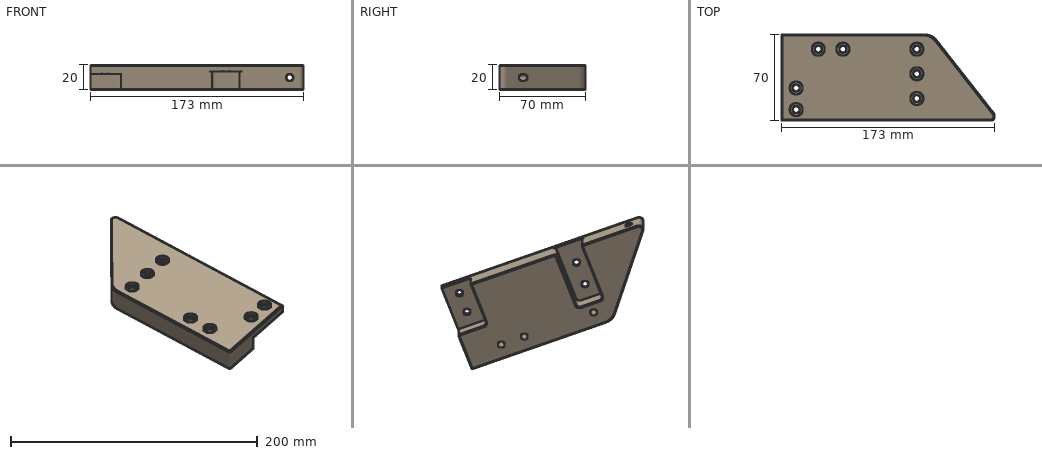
import cadquery as cq
import math

length = 173.02
width = 70.0
thickness = 20.0
slant_angle = 51.9
tip_radius = 3.6
shoulder_radius = 13.0
back_corner_radius = 1.0
edge_chamfer = 0.8

recess_corner_radius = 3.0
mouth_radius = 1.6
end_recess_length = 25.0
end_recess_depth = 38.0
end_recess_height = 13.0
front_recess_width = 22.2
front_recess_center = 109.9
front_recess_depth = 50.0
front_recess_height = 15.0

screw_diameter = 5.5
counterbore_diameter = 10.5
counterbore_depth = 3.0
screw_pitch = 20.0
back_row_y = 58.0
back_pair_x = 29.9
column_screw_count = 3
end_pair_x = 12.0
end_pair_y = 9.0
end_pair_pitch = 17.5

cross_hole_diameter = 5.5
cross_hole_x = 161.7
cross_hole_z = thickness / 2


def fillet_upright_edge(solid, x, y, radius):
    """Round the vertical edge that stands at (x, y)."""
    nearest = cq.selectors.NearestToPointSelector((x, y, thickness / 2))
    return solid.edges("|Z").edges(nearest).fillet(radius)


def make_plate():
    slant = math.radians(slant_angle)
    sharp_tip_x = length - tip_radius + tip_radius / math.tan(slant / 2)
    shoulder_x = sharp_tip_x - width / math.tan(slant)
    outline = [(0, 0), (sharp_tip_x, 0), (shoulder_x, width), (0, width)]
    plate = cq.Workplane("XY").polyline(outline).close().extrude(thickness)
    plate = fillet_upright_edge(plate, sharp_tip_x, 0, tip_radius)
    plate = fillet_upright_edge(plate, shoulder_x, width, shoulder_radius)
    return fillet_upright_edge(plate, 0, width, back_corner_radius)


def make_end_recess():
    """Recess open to the left end and the front, rounded at its inner corner and left mouth."""
    inner_x = end_recess_length - recess_corner_radius
    inner_y = end_recess_depth - recess_corner_radius
    return (
        cq.Workplane("XY")
        .lineTo(end_recess_length, 0)
        .lineTo(end_recess_length, inner_y)
        .radiusArc((inner_x, end_recess_depth), -recess_corner_radius)
        .lineTo(mouth_radius, end_recess_depth)
        .radiusArc((0, end_recess_depth + mouth_radius), mouth_radius)
        .close()
        .extrude(end_recess_height)
    )


def make_front_recess():
    """Recess open to the front, rounded at its inner corners and both mouth edges."""
    left = front_recess_center - front_recess_width / 2
    right = front_recess_center + front_recess_width / 2
    inner_y = front_recess_depth - recess_corner_radius
    return (
        cq.Workplane("XY")
        .moveTo(left - mouth_radius, 0)
        .lineTo(right + mouth_radius, 0)
        .radiusArc((right, mouth_radius), mouth_radius)
        .lineTo(right, inner_y)
        .radiusArc((right - recess_corner_radius, front_recess_depth), -recess_corner_radius)
        .lineTo(left + recess_corner_radius, front_recess_depth)
        .radiusArc((left, inner_y), -recess_corner_radius)
        .lineTo(left, mouth_radius)
        .radiusArc((left - mouth_radius, 0), mouth_radius)
        .close()
        .extrude(front_recess_height)
    )


def screw_positions():
    end_pair = [(end_pair_x, end_pair_y + i * end_pair_pitch) for i in range(2)]
    back_pair = [(back_pair_x + i * screw_pitch, back_row_y) for i in range(2)]
    column = [(front_recess_center, back_row_y - i * screw_pitch) for i in range(column_screw_count)]
    return end_pair + back_pair + column


def drill_screw_holes(solid):
    return (
        solid.faces(">Z")
        .workplane(origin=(0, 0, thickness))
        .pushPoints(screw_positions())
        .cboreHole(screw_diameter, counterbore_diameter, counterbore_depth)
    )


def make_cross_hole():
    return (
        cq.Workplane("XZ")
        .center(cross_hole_x, cross_hole_z)
        .circle(cross_hole_diameter / 2)
        .extrude(-width)
    )


body = make_plate().cut(make_end_recess()).cut(make_front_recess())
body = body.faces("<Z or >Z").chamfer(edge_chamfer)
body = drill_screw_holes(body)
result = body.cut(make_cross_hole())